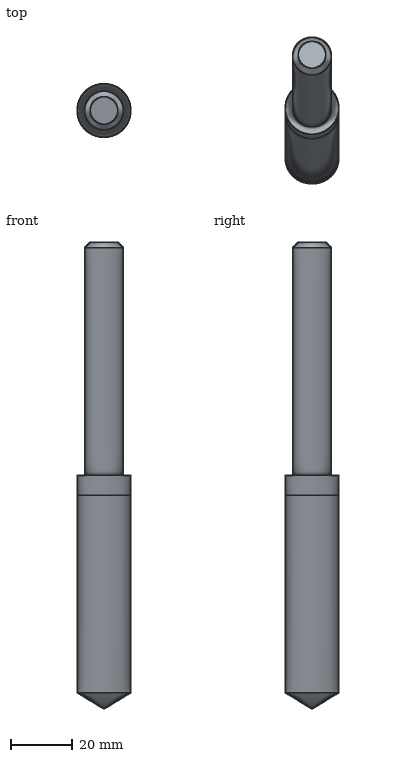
import cadquery as cq

total_length = 152.4
body_diameter = 17.5
shank_diameter = 12.6

tip_height = 5.3
joint_height = 69.8
shoulder_height = 76.2

shank_chamfer = 1.8

body_radius = body_diameter / 2
shank_radius = shank_diameter / 2


def revolve_profile(points):
    """Revolve a closed (radius, height) outline about the Z axis."""
    return cq.Workplane("XZ").polyline(points).close().revolve(360, (0, 0), (0, 1))


def make_cutting_head():
    """Cylinder with a conical point at its lower end."""
    return revolve_profile([
        (0, 0),
        (body_radius, tip_height),
        (body_radius, joint_height),
        (0, joint_height),
    ])


def make_shank():
    """Collar resting on the head, with a slimmer chamfered shank above it."""
    return revolve_profile([
        (0, joint_height),
        (body_radius, joint_height),
        (body_radius, shoulder_height),
        (shank_radius, shoulder_height),
        (shank_radius, total_length - shank_chamfer),
        (shank_radius - shank_chamfer, total_length),
        (0, total_length),
    ])


cutting_head = make_cutting_head()
shank = make_shank()

result = cq.Compound.makeCompound([cutting_head.val(), shank.val()])